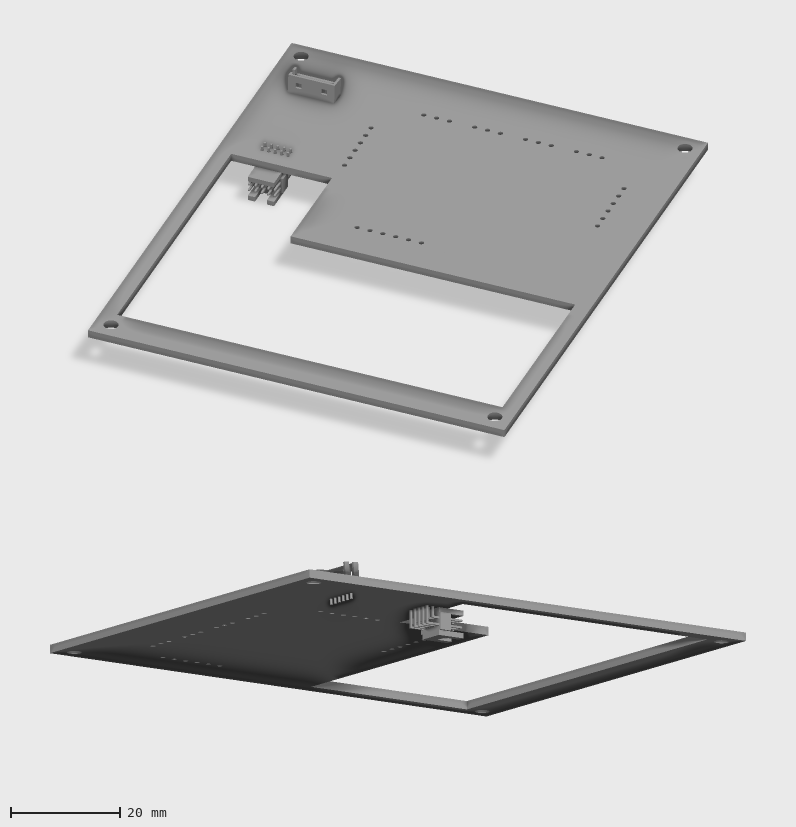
import cadquery as cq

BOARD_X = 82.6
BOARD_Y = 98.0
BOARD_T = 1.6
MOUNT_DIA = 2.7
MOUNT_INSET = 3.2

WINDOW_SIDE = 38.2
WINDOW_FRONT = -42.4
WINDOW_STEP_X = -18.2
WINDOW_STEP_Y = -7.4
WINDOW_BACK = 12.4

SOLDER_DIA = 1.0
SOLDER_PITCH = 2.5
COLUMN_COUNT = 6
COLUMN_MID_X = 7.4
COLUMN_HALF_SPAN = 25.1
COLUMN_MID_Y = 23.4
FRONT_ROW_COUNT = 6
FRONT_ROW_X = -1.7
FRONT_ROW_Y = -0.2
GROUP_COUNT = 4
GROUP_SIZE = 3
GROUP_PITCH = 10.1
GROUP_ROW_Y = 37.2

SOCKET_X = -31.3
SOCKET_REAR_Y = 36.9
SOCKET_TILT = -5.0
SOCKET_LENGTH = 9.2
SOCKET_DEPTH = 3.0
SOCKET_HEIGHT = 3.8
SOCKET_WALL = 0.5
SOCKET_FLOOR = 1.2
LATCH_OFFSET = 2.5
LATCH_WIDTH = 1.2
LATCH_BOTTOM = 1.4
LATCH_TOP = 2.45
KEY_SLOT_REAR = 1.0
KEY_SLOT_WIDTH = 1.0
RIDGE_DEPTH = 0.3
RIDGE_HEIGHT = 0.5
REAR_WALL_HEIGHT = 2.45
SOCKET_PIN_COUNT = 6
SOCKET_PIN_PITCH = 1.3
SOCKET_PIN_DIA = 0.5
SOCKET_PIN_SETBACK = 2.0
SOCKET_PIN_TOP = 2.9
SOCKET_PIN_BOTTOM = -2.8

HEADER_X = -30.9
HEADER_REAR_Y = 14.4
PLATE_T = 1.0
PLATE_WIDTH = 5.2
PLATE_LENGTH = 5.5
KEYWAY_WIDTH = 2.4
BLOCK_WIDTH = 6.3
BLOCK_LENGTH = 2.4
BLOCK_HEIGHT = 3.2
HEADER_PIN_COUNT = 5
HEADER_PIN_PITCH = 1.3
HEADER_PIN_SIZE = 0.4
HEADER_HOLE_DIA = 0.65
HEADER_PIN_TIP_Y = 9.2
HEADER_PIN_BEVEL = 0.1
HEADER_PIN_TIP_Z = BOARD_T + 0.8
NEAR_LEG_Y = 15.8

BLOCK_TOP = -PLATE_T
BLOCK_BOTTOM = BLOCK_TOP - BLOCK_HEIGHT
BLOCK_MID_Z = (BLOCK_TOP + BLOCK_BOTTOM) / 2
HEADER_ROWS = [
    (NEAR_LEG_Y, BLOCK_MID_Z + HEADER_PIN_PITCH / 2),
    (NEAR_LEG_Y + HEADER_PIN_PITCH, BLOCK_MID_Z - HEADER_PIN_PITCH / 2),
]


def spread(count, pitch, middle=0.0):
    """Evenly spaced positions about a middle."""
    return [middle + (i - (count - 1) / 2) * pitch for i in range(count)]


def box(x0, x1, y0, y1, z0, z1):
    """A block between two opposite corners."""
    return cq.Workplane("XY").box(x1 - x0, y1 - y0, z1 - z0, centered=False).translate((x0, y0, z0))


def tilt_onto_board(part):
    """Lean a part in socket coordinates and stand it on the board."""
    leaning = part.rotate((0, 0, 0), (1, 0, 0), SOCKET_TILT)
    return leaning.translate((SOCKET_X, SOCKET_REAR_Y, BOARD_T))


def socket_pins():
    pin_places = [(x, -SOCKET_PIN_SETBACK) for x in spread(SOCKET_PIN_COUNT, SOCKET_PIN_PITCH)]
    return (
        cq.Workplane("XY")
        .workplane(offset=SOCKET_PIN_BOTTOM)
        .pushPoints(pin_places)
        .circle(SOCKET_PIN_DIA / 2)
        .extrude(SOCKET_PIN_TOP - SOCKET_PIN_BOTTOM)
    )


def make_socket():
    half = SOCKET_LENGTH / 2
    inner_half = half - SOCKET_WALL
    shell = box(-half, half, -SOCKET_DEPTH, 0, 0, SOCKET_HEIGHT)

    cavity_front = SOCKET_WALL - SOCKET_DEPTH
    shell = shell.cut(box(-inner_half, inner_half, cavity_front, -SOCKET_WALL, SOCKET_FLOOR, SOCKET_HEIGHT))

    for x in (-LATCH_OFFSET, LATCH_OFFSET):
        left = x - LATCH_WIDTH / 2
        shell = shell.cut(
            box(left, left + LATCH_WIDTH, -SOCKET_DEPTH, cavity_front, LATCH_BOTTOM, LATCH_TOP)
        )

    slot_front = -KEY_SLOT_REAR - KEY_SLOT_WIDTH
    shell = shell.cut(box(-half, -inner_half, slot_front, -KEY_SLOT_REAR, SOCKET_FLOOR, SOCKET_HEIGHT))

    shell = shell.cut(box(-inner_half, inner_half, -SOCKET_WALL, 0, REAR_WALL_HEIGHT, SOCKET_HEIGHT))
    ridge_bottom = REAR_WALL_HEIGHT - RIDGE_HEIGHT
    ridge = (
        cq.Workplane("YZ")
        .polyline([(0, ridge_bottom), (RIDGE_DEPTH, REAR_WALL_HEIGHT), (0, REAR_WALL_HEIGHT)])
        .close()
        .extrude(inner_half, both=True)
    )
    return tilt_onto_board(shell.union(ridge).union(socket_pins()))


def bent_pin(x, leg_y, arm_z):
    """Square pin that runs back from its bevelled tip and turns up through the board."""
    half = HEADER_PIN_SIZE / 2
    arm = box(x - half, x + half, HEADER_PIN_TIP_Y, leg_y + half, arm_z - half, arm_z + half)
    leg = box(x - half, x + half, leg_y - half, leg_y + half, arm_z - half, HEADER_PIN_TIP_Z)
    arm = arm.faces("<Y").chamfer(HEADER_PIN_BEVEL)
    return arm.union(leg)


def make_header():
    half_block = BLOCK_WIDTH / 2
    half_plate = PLATE_WIDTH / 2
    half_keyway = KEYWAY_WIDTH / 2
    block_front = HEADER_REAR_Y - BLOCK_LENGTH
    plate_front = HEADER_REAR_Y - PLATE_LENGTH
    lower_plate_bottom = BLOCK_BOTTOM - PLATE_T

    header = box(
        HEADER_X - half_block, HEADER_X + half_block,
        block_front, HEADER_REAR_Y,
        BLOCK_BOTTOM, BLOCK_TOP,
    )

    for bottom in (BLOCK_TOP, lower_plate_bottom):
        header = header.union(box(
            HEADER_X - half_plate, HEADER_X + half_plate,
            plate_front, HEADER_REAR_Y,
            bottom, bottom + PLATE_T,
        ))

    header = header.cut(box(
        HEADER_X - half_keyway, HEADER_X + half_keyway,
        plate_front, block_front,
        lower_plate_bottom, BLOCK_BOTTOM,
    ))

    for leg_y, arm_z in HEADER_ROWS:
        for x in spread(HEADER_PIN_COUNT, HEADER_PIN_PITCH, HEADER_X):
            header = header.union(bent_pin(x, leg_y, arm_z))
    return header


def solder_hole_places():
    places = []
    for y in spread(COLUMN_COUNT, SOLDER_PITCH, COLUMN_MID_Y):
        places.append((COLUMN_MID_X - COLUMN_HALF_SPAN, y))
        places.append((COLUMN_MID_X + COLUMN_HALF_SPAN, y))
    for x in spread(FRONT_ROW_COUNT, SOLDER_PITCH, FRONT_ROW_X):
        places.append((x, FRONT_ROW_Y))
    for group_x in spread(GROUP_COUNT, GROUP_PITCH, COLUMN_MID_X):
        for x in spread(GROUP_SIZE, SOLDER_PITCH, group_x):
            places.append((x, GROUP_ROW_Y))
    return places


def header_hole_places():
    columns = spread(HEADER_PIN_COUNT, HEADER_PIN_PITCH, HEADER_X)
    return [(x, leg_y) for leg_y, _ in HEADER_ROWS for x in columns]


def drill(part, places, diameter):
    holes = cq.Workplane("XY").pushPoints(places).circle(diameter / 2).extrude(BOARD_T)
    return part.cut(holes)


def make_board():
    board = cq.Workplane("XY").rect(BOARD_X, BOARD_Y).extrude(BOARD_T)
    window = (
        cq.Workplane("XY")
        .polyline([
            (-WINDOW_SIDE, WINDOW_FRONT),
            (WINDOW_SIDE, WINDOW_FRONT),
            (WINDOW_SIDE, WINDOW_STEP_Y),
            (WINDOW_STEP_X, WINDOW_STEP_Y),
            (WINDOW_STEP_X, WINDOW_BACK),
            (-WINDOW_SIDE, WINDOW_BACK),
        ])
        .close()
        .extrude(BOARD_T)
    )
    board = board.cut(window)

    mount_x = BOARD_X / 2 - MOUNT_INSET
    mount_y = BOARD_Y / 2 - MOUNT_INSET
    board = drill(board, [(sx * mount_x, sy * mount_y) for sx in (-1, 1) for sy in (-1, 1)], MOUNT_DIA)
    board = drill(board, solder_hole_places(), SOLDER_DIA)
    board = drill(board, header_hole_places(), HEADER_HOLE_DIA)

    return board.cut(tilt_onto_board(socket_pins()))


board = make_board()
socket = make_socket()
header = make_header()

result = cq.Compound.makeCompound([board.val(), socket.val(), header.val()])